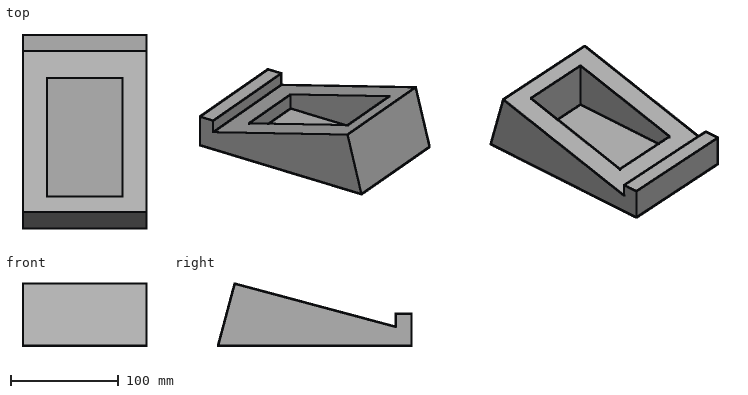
import cadquery as cq
import math

width = 115.0
length = 180.0
slope_angle = math.radians(15.0)

lip_thickness = 15.0
lip_height = 30.0
slope_foot_height = 18.0

pocket_width = 70.0
pocket_length = 110.0
pocket_rear_margin = 40.0
pocket_floor_height = 10.0

slope_tangent = math.tan(slope_angle)
lip_front = length - lip_thickness
crest_height = (slope_foot_height + lip_front * slope_tangent) / (1 + slope_tangent**2)
crest_setback = crest_height * slope_tangent


def wedge_body():
    """Side profile in the YZ plane, extruded symmetrically along X."""
    return (
        cq.Workplane("YZ")
        .moveTo(0, 0)
        .lineTo(length, 0)
        .lineTo(length, lip_height)
        .lineTo(lip_front, lip_height)
        .lineTo(lip_front, slope_foot_height)
        .lineTo(crest_setback, crest_height)
        .close()
        .extrude(width / 2, both=True)
    )


def pocket_cutter():
    """Box rising from the pocket floor past the crest of the slope."""
    pocket_center_y = length - pocket_rear_margin - pocket_length / 2
    return (
        cq.Workplane("XY", origin=(0, pocket_center_y, pocket_floor_height))
        .rect(pocket_width, pocket_length)
        .extrude(crest_height)
    )


result = wedge_body().cut(pocket_cutter())